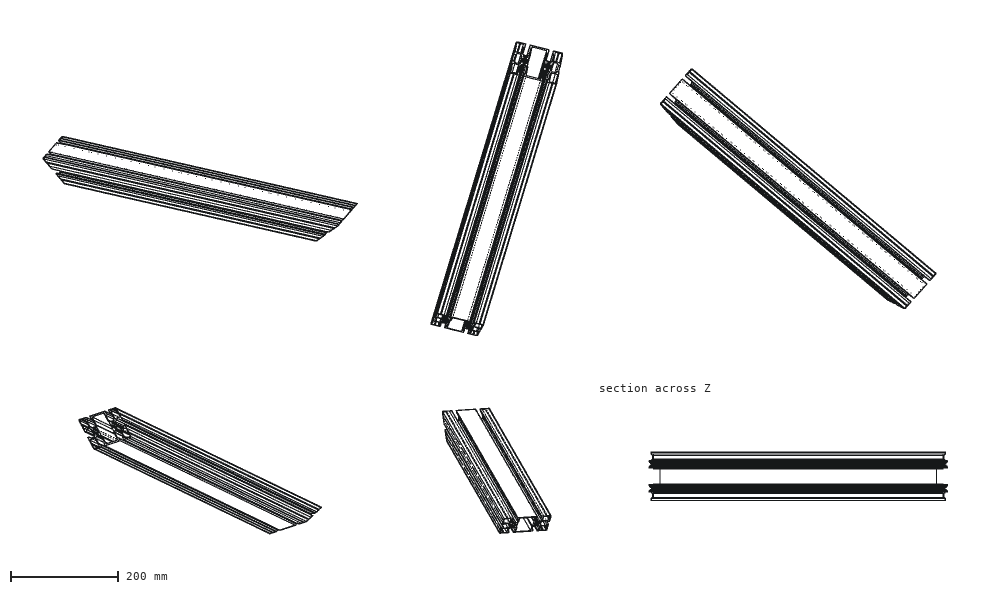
import cadquery as cq

length = 598.5
width = 90.0
height = 45.0
corner_radius = 2.1

slot_offset = width / 4
slot_opening = 8.5
lip_depth = 3.5
cavity_width = 13.0
slot_depth = 15.85
floor_chamfer = 2.7
mark_width = 2.0
mark_depth = 0.9

corner_wall = 1.4
face_wall = 2.1
slot_wall = 2.0
ridge_offset = 8.0
ridge_width = 2.0
ridge_height = 0.5
relief_depth = 1.0
relief_height = 17.0

bore_diameter = 8.0
groove_width = 3.5
groove_span = 10.0

half_cavity = cavity_width / 2
half_opening = slot_opening / 2


def bar(sketch):
    """Extrude a YZ section over the full length, centred on X = 0."""
    return sketch.extrude(length / 2, both=True)


def block(y_size, z_size, y=0, z=0):
    """Bar along X with a rectangular section centred at (y, z)."""
    return bar(cq.Workplane("YZ").center(y, z).rect(y_size, z_size))


def t_slot():
    """T-slot along X, open at z = 0, with a V-shaped centre mark in its floor."""
    flare_end = lip_depth + half_cavity - half_opening
    right_side = [
        (half_opening, 0),
        (half_opening, -lip_depth),
        (half_cavity, -flare_end),
        (half_cavity, -slot_depth + floor_chamfer),
        (half_cavity - floor_chamfer, -slot_depth),
        (mark_width / 2, -slot_depth),
    ]
    mark_tip = (0, -slot_depth - mark_depth)
    left_side = [(-y, z) for y, z in reversed(right_side)]
    return bar(cq.Workplane("YZ").polyline(right_side + [mark_tip] + left_side).close())


def corner_cell():
    """Hollow cell of the +Y +Z corner, with a ridge on each of its two outer walls."""
    y_outer = width / 2 - corner_wall
    z_outer = height / 2 - corner_wall
    y_inner = slot_offset + half_cavity + slot_wall
    z_inner = half_cavity + slot_wall
    cell = block(y_outer - y_inner, z_outer - z_inner, (y_outer + y_inner) / 2, (z_outer + z_inner) / 2)
    top_ridge = block(ridge_width, 2 * ridge_height, width / 2 - ridge_offset, z_outer)
    side_ridge = block(2 * ridge_height, ridge_width, y_outer, height / 2 - ridge_offset)
    return cell.cut(top_ridge).cut(side_ridge)


def middle_cell():
    """Large central cell, widened beside the two cores."""
    half_width = slot_offset - half_cavity - slot_wall
    cell = block(2 * half_width, height - 2 * face_wall)
    return cell.union(block(2 * (half_width + relief_depth), relief_height))


def core_bore():
    """Bore along X with four grooves in a cross."""
    bore = bar(cq.Workplane("YZ").circle(bore_diameter / 2))
    return bore.union(block(groove_width, groove_span)).union(block(groove_span, groove_width))


def mitred_envelope():
    """Trapezoid that is longest at the top face."""
    half_top = length / 2
    half_bottom = half_top - height
    outline = [
        (-half_top, height / 2),
        (half_top, height / 2),
        (half_bottom, -height / 2),
        (-half_bottom, -height / 2),
    ]
    return cq.Workplane("XZ").polyline(outline).close().extrude(width, both=True)


profile = block(width, height).edges("|X").fillet(corner_radius)

for y in (-slot_offset, slot_offset):
    top_slot = t_slot().translate((0, y, height / 2))
    profile = profile.cut(top_slot).cut(top_slot.mirror("XY"))
    profile = profile.cut(core_bore().translate((0, y, 0)))

side_slot = t_slot().rotate((0, 0, 0), (1, 0, 0), -90).translate((0, width / 2, 0))
profile = profile.cut(side_slot).cut(side_slot.mirror("XZ"))

upper_cells = corner_cell().union(corner_cell().mirror("XZ"))
profile = profile.cut(upper_cells).cut(upper_cells.mirror("XY"))
profile = profile.cut(middle_cell())

result = profile.intersect(mitred_envelope())